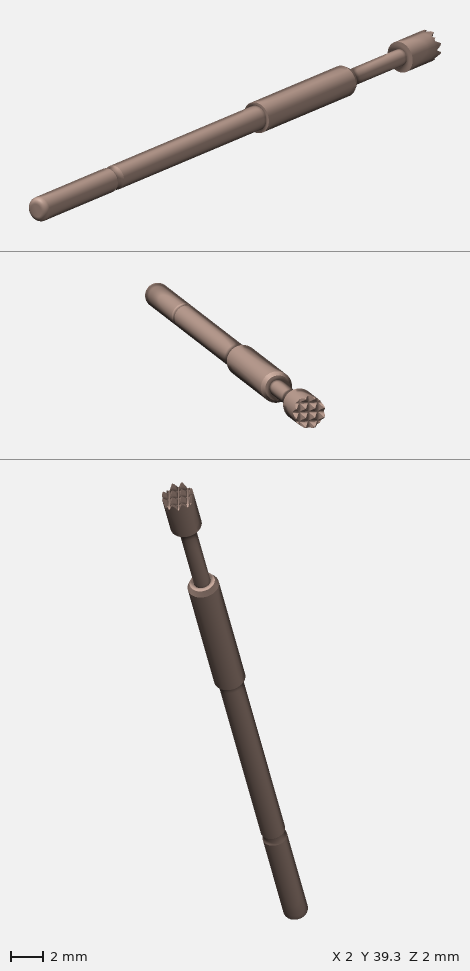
import cadquery as cq

length = 39.3
head_diameter = 2.0
collar_diameter = head_diameter
plunger_diameter = 1.05
barrel_diameter = 1.57

head_end = 3.0
collar_start = 8.3
collar_end = 17.35
groove_centre = 31.85

collar_chamfer_length = 0.35
collar_chamfer_depth = 0.2
barrel_end_round = 0.35

groove_width = 0.63
groove_depth = 0.08

tooth_pitch = 0.6
tooth_depth = 0.5
tooth_tip_width = 0.008
trench_floor_width = 0.08
trench_count = 5

tip_y = length / 2


def rod(start, end, diameter):
    """Cylinder along Y between two distances from the tooth tips."""
    plane = cq.Workplane("XZ", origin=(0, tip_y - start, 0))
    return plane.circle(diameter / 2).extrude(end - start)


def trench():
    """Narrow-floored V trench along Z, opening at the tooth tips."""
    half_mouth = (tooth_pitch - tooth_tip_width) / 2
    half_floor = trench_floor_width / 2
    floor_y = tip_y - tooth_depth
    profile = [(-half_mouth, tip_y), (half_mouth, tip_y), (half_floor, floor_y), (-half_floor, floor_y)]
    return cq.Workplane("XY").polyline(profile).close().extrude(head_diameter, both=True)


def serrated_head():
    """Head cylinder with crossed trenches leaving pointed teeth on its face."""
    head = rod(0, head_end, head_diameter)
    for index in range(trench_count):
        offset = (index - (trench_count - 1) / 2) * tooth_pitch
        upright_trench = trench().translate((offset, 0, 0))
        level_trench = upright_trench.rotate((0, 0, 0), (0, 1, 0), 90)
        head = head.cut(upright_trench).cut(level_trench)
    return head


def collar():
    """Wide sleeve with a steep chamfer on the edge facing the head."""
    body = rod(collar_start, collar_end, collar_diameter)
    return body.faces(">Y").edges().chamfer(collar_chamfer_length, collar_chamfer_depth)


def groove():
    """Shallow ring with an arc profile, centred on the barrel surface."""
    radius = barrel_diameter / 2
    centre_y = tip_y - groove_centre
    half_width = groove_width / 2
    profile = (
        cq.Workplane("XY")
        .moveTo(radius, centre_y - half_width)
        .threePointArc((radius - groove_depth, centre_y), (radius, centre_y + half_width))
        .close()
    )
    return profile.revolve(360, (0, 0, 0), (0, 1, 0))


def barrel():
    """Long tail with a rounded end and one ring groove."""
    body = rod(collar_end, length, barrel_diameter)
    return body.faces("<Y").edges().fillet(barrel_end_round).cut(groove())


plunger = rod(head_end, collar_start, plunger_diameter)

result = serrated_head().union(plunger).union(collar()).union(barrel())